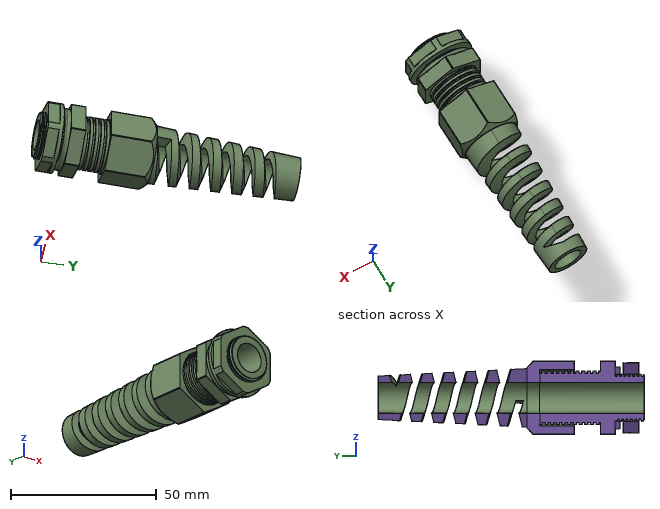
import cadquery as cq
import math


locknut_front = 1.95
locknut_flange_front = 5.9
locknut_back = 7.3
gasket_front = 8.3
body_hex_front = 10.0
body_hex_back = 15.1
dome_front = 24.1
body_back = 36.0
dome_back = 40.4
overall_length = 91.5

bore_radius = 5.25
hex_across_flats = 22.0
hex_corner_diameter = 25.2
gasket_radius = 10.75
gasket_edge_round = 0.4
locknut_radius = 12.12
dome_socket_radius = 9.6
dome_back_radius = 10.45
sleeve_base_radius = 10.1
sleeve_end_radius = 7.55

front_thread = dict(radius=8.15, depth=0.75, pitch=1.5, root_width=0.3, crest_width=0.9)
rear_thread = dict(radius=9.25, depth=0.75, pitch=1.95, root_width=0.65, crest_width=0.85)
front_thread_chamfer = 0.4
rear_groove_at_top = 21.97
front_groove_at_top = 0.75
groove_overlap = 0.2

slot_pitch = 7.5
slot_bore_width = 2.6
slot_flare = 0.25
slot_first_top = 48.3
slot_lead_turns = 0.72
slot_turns = 5.85
slot_end_station = 84.8
slot_end_slope_x = -0.255
slot_end_slope_z = 0.35
slot_inner_radius = 4.0
slot_outer_radius = 11.0


def cylinder(radius, y_front, y_back):
    """Cylinder on the Y axis between two stations."""
    return cq.Workplane("XZ", origin=(0, y_front, 0)).circle(radius).extrude(y_front - y_back)


def hexagon(y_front, y_back, corner_diameter):
    """Hexagon with flats facing +X and -X, its corners rounded to a diameter."""
    across_corners = hex_across_flats / math.cos(math.pi / 6)
    prism = (
        cq.Workplane("XZ", origin=(0, y_front, 0))
        .transformed(rotate=(0, 0, 90))
        .polygon(6, across_corners)
        .extrude(y_front - y_back)
    )
    return prism.intersect(cylinder(corner_diameter / 2, y_front, y_back))


def revolve_about_y(points):
    """Solid of revolution from (y, radius) points."""
    return cq.Workplane("YZ").polyline(points).close().revolve(360, (0, 0, 0), (1, 0, 0))


def helical_cutter(points, pitch, turns, top_station):
    """Right-handed helical sweep of a (radius, axial offset) section.

    The section starts above the axis (+Z side), centred on top_station.
    """
    path = cq.Wire.makeHelix(pitch, pitch * turns, points[0][0])
    sweep = cq.Workplane("XZ").polyline(points).close().sweep(cq.Workplane(path), isFrenet=True)
    along_y = sweep.rotate((0, 0, 0), (1, 0, 0), -90).rotate((0, 0, 0), (0, 1, 0), -90)
    return along_y.translate((0, top_station, 0))


def thread_groove(thread, groove_at_top, y_front, y_back):
    """Thread groove of trapezoid section over a stretch of the axis."""
    pitch = thread["pitch"]
    radius = thread["radius"]
    depth = thread["depth"]
    root = thread["root_width"] / 2
    crest = thread["crest_width"] / 2
    flare = crest + (crest - root) * groove_overlap / depth
    section = [
        (radius - depth, -root),
        (radius + groove_overlap, -flare),
        (radius + groove_overlap, flare),
        (radius - depth, root),
    ]
    first = groove_at_top - pitch * math.ceil((groove_at_top - y_front) / pitch + 1)
    turns = math.ceil((y_back - first) / pitch) + 1
    return helical_cutter(section, pitch, turns, first).intersect(
        cylinder(radius + 2 * groove_overlap, y_front, y_back)
    )


def make_body():
    """Gland body: hexagon with a threaded neck on each side."""
    front_radius = front_thread["radius"]
    neck = cylinder(front_radius, 0, body_hex_front).faces("<Y").chamfer(front_thread_chamfer)
    neck = neck.cut(thread_groove(front_thread, front_groove_at_top, 0, body_hex_front))
    rear = cylinder(rear_thread["radius"], body_hex_back, body_back)
    rear = rear.cut(thread_groove(rear_thread, rear_groove_at_top, body_hex_back, body_back))
    body = hexagon(body_hex_front, body_hex_back, hex_corner_diameter).union(neck).union(rear)
    return body.cut(cylinder(bore_radius, 0, body_back))


def make_gasket():
    """Flat sealing ring against the front of the body's hexagon."""
    ring = cylinder(gasket_radius, gasket_front, body_hex_front)
    ring = ring.faces("<Y").edges().fillet(gasket_edge_round)
    return ring.cut(cylinder(front_thread["radius"], gasket_front, body_hex_front))


def make_locknut():
    """Flanged hexagon nut on the front thread."""
    nut = hexagon(locknut_front, locknut_flange_front, 2 * locknut_radius)
    nut = nut.union(cylinder(locknut_radius, locknut_flange_front, locknut_back))
    return nut.cut(cylinder(front_thread["radius"], locknut_front, locknut_back))


def make_dome_nut():
    """Cap nut with a 45 degree crown, with a clearance socket over the rear thread."""
    corner_radius = hex_corner_diameter / 2
    crown_height = corner_radius - dome_back_radius
    blank = revolve_about_y([
        (dome_front, 0),
        (dome_front, corner_radius),
        (dome_back - crown_height, corner_radius),
        (dome_back, dome_back_radius),
        (dome_back, 0),
    ])
    nut = hexagon(dome_front, dome_back, hex_corner_diameter).intersect(blank)
    nut = nut.cut(cylinder(dome_socket_radius, dome_front, body_back))
    return nut.cut(cylinder(bore_radius, body_back, dome_back))


def spiral_slot():
    """Flared helical slot, closed at the back by a slanting wall on its +Z side."""
    inner_half = slot_bore_width / 2 + slot_flare * (slot_inner_radius - bore_radius)
    outer_half = slot_bore_width / 2 + slot_flare * (slot_outer_radius - bore_radius)
    section = [
        (slot_inner_radius, -inner_half),
        (slot_outer_radius, -outer_half),
        (slot_outer_radius, outer_half),
        (slot_inner_radius, inner_half),
    ]
    first_top = slot_first_top - slot_lead_turns * slot_pitch
    slot = helical_cutter(section, slot_pitch, slot_turns, first_top)
    slot = slot.rotate((0, 0, 0), (0, 1, 0), -360 * slot_lead_turns)
    size = 4 * slot_outer_radius
    end_plane = cq.Plane(
        origin=(0, slot_end_station, 0),
        xDir=(1, slot_end_slope_x, 0),
        normal=(-slot_end_slope_x, 1, -slot_end_slope_z),
    )
    behind_wall = cq.Workplane(end_plane).rect(size, size).extrude(size)
    upper_half = cq.Workplane("XY", origin=(0, overall_length, 0)).rect(size, size).extrude(size)
    return slot.cut(behind_wall.intersect(upper_half))


def make_sleeve():
    """Tapered bend-protection sleeve with a helical slot through its wall."""
    tube = revolve_about_y([
        (dome_back, bore_radius),
        (dome_back, sleeve_base_radius),
        (overall_length, sleeve_end_radius),
        (overall_length, bore_radius),
    ])
    return tube.cut(spiral_slot())


body = make_body()
gasket = make_gasket()
locknut = make_locknut()
dome_nut = make_dome_nut()
sleeve = make_sleeve()

result = cq.Compound.makeCompound([
    body.val(),
    gasket.val(),
    locknut.val(),
    dome_nut.val(),
    sleeve.val(),
])